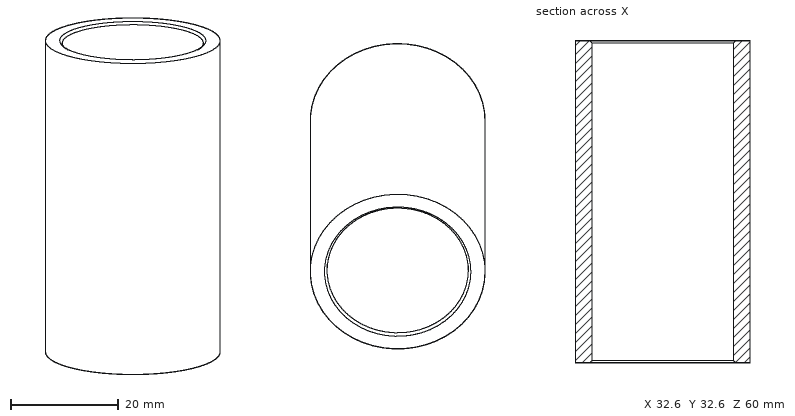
import cadquery as cq

length = 60.0
outer_diameter = 32.6
bore_diameter = 26.3
bore_chamfer = 0.5

sleeve = (
    cq.Workplane("XY", origin=(0, 0, -length / 2))
    .circle(outer_diameter / 2)
    .circle(bore_diameter / 2)
    .extrude(length)
)

bore_rims = sleeve.edges("%CIRCLE").edges(cq.selectors.RadiusNthSelector(0))
result = bore_rims.chamfer(bore_chamfer)